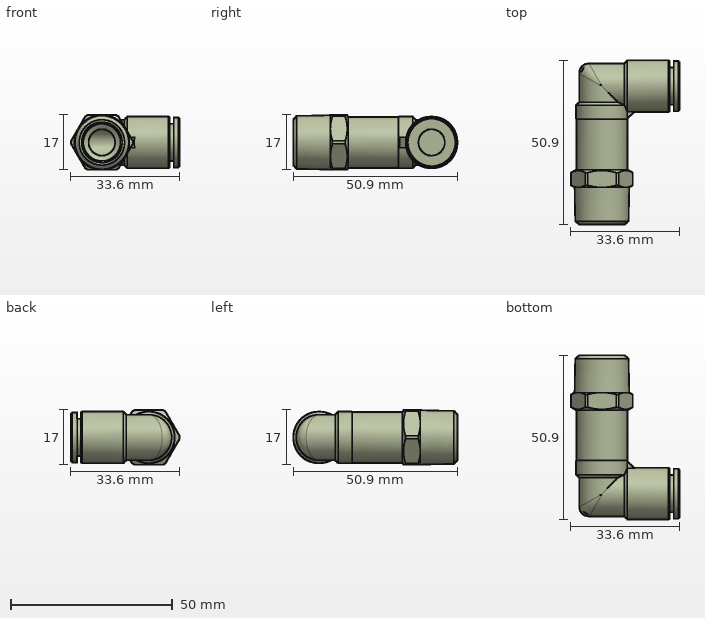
import cadquery as cq
import math

tube_radius = 7.1
corner_radius = 3.0
section_count = 5
core_inset = 0.5
wedge_reach = 2 * tube_radius

collar_radius = 8.05
shoulder_height = collar_radius - tube_radius

overall_length = 50.9
stem_length = overall_length - collar_radius
collar_start = 4.95
collar_end = 10.0
collar_bevel = 0.3
body_radius = 7.95
hex_start = 25.8
hex_end = 31.3
hex_across_flats = 17.0
hex_corner_radius = 9.55
hex_bevel_angle = math.radians(30)
thread_root_radius = 8.5
thread_tip_radius = 8.3
thread_end_radius = 7.0
thread_bevel_start = 41.75

overall_width = 33.65
branch_length = overall_width - hex_corner_radius
socket_start = 6.9
socket_bevel_start = 20.55
socket_end = 21.0
socket_end_radius = 7.75
neck_radius = 5.8
release_ring_start = 22.2
release_ring_radius = 7.8
release_ring_bevel = 0.45

gusset_width = 3.2
gusset_inner = 6.6
gusset_tip = 10.2

bore_radius = 4.05
inlet_radius = 5.75
inlet_bevel = 0.5
inlet_cone_angle = math.radians(30)
inlet_cone_length = (inlet_radius - bore_radius) * math.tan(inlet_cone_angle)


def revolve_stem(profile):
    """Revolve (radius, distance) points around the stem axis."""
    points = [(0, -profile[0][1])]
    points += [(radius, -distance) for radius, distance in profile]
    points += [(0, -profile[-1][1])]
    return cq.Workplane("XY").polyline(points).close().revolve(360, (0, 0), (0, 1))


def revolve_branch(profile):
    """Revolve (radius, distance) points around the branch axis."""
    points = [(profile[0][1], 0)]
    points += [(distance, radius) for radius, distance in profile]
    points += [(profile[-1][1], 0)]
    return cq.Workplane("XY").polyline(points).close().revolve(360, (0, 0), (1, 0))


def make_corner_wedge():
    """Loft half ellipses fanned about the Z axis, following a rounded square corner."""
    arc_center = tube_radius - corner_radius
    sections = []
    for index in range(section_count):
        arc_angle = math.pi / 2 * index / (section_count - 1)
        across = arc_center + corner_radius * math.cos(arc_angle)
        along = arc_center + corner_radius * math.sin(arc_angle)
        reach = math.hypot(across, along)
        radial_plane = cq.Plane((0, 0, 0), (-across, along, 0), (along, across, 0))
        half_chord = tube_radius * math.sqrt(1 - (core_inset / reach) ** 2)
        edge_angle = math.degrees(math.acos(core_inset / reach))
        ellipse_arc = cq.Edge.makeEllipse(
            reach, tube_radius, radial_plane.origin, radial_plane.zDir, radial_plane.xDir,
            -edge_angle, edge_angle,
        )
        chord = cq.Edge.makeLine(
            radial_plane.toWorldCoords((core_inset, half_chord)),
            radial_plane.toWorldCoords((core_inset, -half_chord)),
        )
        sections.append(cq.Wire.assembleEdges([ellipse_arc, chord]))
    return cq.Workplane(cq.Solid.makeLoft(sections))


def make_elbow():
    """Two tubes mitred at the origin, with the outer corner rounded."""
    stem_tube = revolve_stem([(tube_radius, -tube_radius), (tube_radius, collar_start)])
    branch_tube = revolve_branch([(tube_radius, -tube_radius), (tube_radius, socket_start)])
    lower_half = [(-wedge_reach, wedge_reach), (wedge_reach, -wedge_reach), (-wedge_reach, -wedge_reach)]
    upper_half = [(-wedge_reach, wedge_reach), (wedge_reach, -wedge_reach), (wedge_reach, wedge_reach)]
    stem_side = cq.Workplane("XY").polyline(lower_half).close().extrude(wedge_reach, both=True)
    branch_side = cq.Workplane("XY").polyline(upper_half).close().extrude(wedge_reach, both=True)
    mitred = stem_tube.intersect(stem_side).union(branch_tube.intersect(branch_side))

    slope = (tube_radius - corner_radius) / tube_radius
    inset_across = core_inset / math.hypot(1, slope)
    inset_along = inset_across * slope
    corner_cut = (
        cq.Workplane("XY")
        .moveTo(-inset_across, inset_along)
        .threePointArc(
            (-core_inset * math.sqrt(0.5), core_inset * math.sqrt(0.5)),
            (-inset_along, inset_across),
        )
        .lineTo(-wedge_reach * slope, wedge_reach)
        .lineTo(-wedge_reach, wedge_reach)
        .lineTo(-wedge_reach, wedge_reach * slope)
        .close()
        .extrude(wedge_reach, both=True)
    )
    return mitred.cut(corner_cut).union(make_corner_wedge())


def make_stem():
    collar_and_body = revolve_stem([
        (tube_radius, collar_start),
        (collar_radius, collar_start + shoulder_height),
        (collar_radius, collar_end),
        (body_radius, collar_end + collar_bevel),
        (body_radius, hex_start),
    ])
    thread = revolve_stem([
        (thread_root_radius, hex_end),
        (thread_tip_radius, thread_bevel_start),
        (thread_end_radius, stem_length),
    ])
    return collar_and_body.union(make_hex()).union(thread)


def make_hex():
    """Hexagon with flats facing up and down and turned corners."""
    bevel_slope = math.tan(hex_bevel_angle)
    turned_blank = revolve_stem([
        (body_radius, hex_start),
        (hex_corner_radius, hex_start + (hex_corner_radius - body_radius) * bevel_slope),
        (hex_corner_radius, hex_end - (hex_corner_radius - thread_root_radius) * bevel_slope),
        (thread_root_radius, hex_end),
    ])
    across_corners = hex_across_flats / math.cos(math.pi / 6)
    hex_plane = cq.Workplane("XZ", origin=(0, -hex_start, 0))
    prism = hex_plane.polygon(6, across_corners).extrude(hex_end - hex_start)
    return turned_blank.intersect(prism)


def make_branch():
    return revolve_branch([
        (tube_radius, socket_start),
        (collar_radius, socket_start + shoulder_height),
        (collar_radius, socket_bevel_start),
        (socket_end_radius, socket_end),
        (neck_radius, socket_end),
        (neck_radius, release_ring_start),
        (release_ring_radius, release_ring_start),
        (release_ring_radius, branch_length - release_ring_bevel),
        (release_ring_radius - release_ring_bevel, branch_length),
    ])


def make_gusset():
    """Triangular web between the stem collar and the branch socket."""
    collar_edge = math.sqrt(collar_radius**2 - (gusset_width / 2) ** 2)
    outline = [
        (gusset_inner, -gusset_inner),
        (gusset_tip, -gusset_inner),
        (gusset_tip, -collar_edge),
        (collar_edge, -collar_end),
        (gusset_inner, -collar_end),
    ]
    return cq.Workplane("XY").polyline(outline).close().extrude(gusset_width / 2, both=True)


def make_passage():
    stem_bore = revolve_stem([
        (bore_radius, 0),
        (bore_radius, hex_end - inlet_cone_length),
        (inlet_radius, hex_end),
        (inlet_radius, stem_length - inlet_bevel),
        (inlet_radius + inlet_bevel, stem_length),
    ])
    branch_bore = revolve_branch([(bore_radius, -bore_radius), (bore_radius, branch_length)])
    return stem_bore.union(branch_bore)


result = make_elbow().union(make_stem()).union(make_branch()).union(make_gusset()).cut(make_passage())